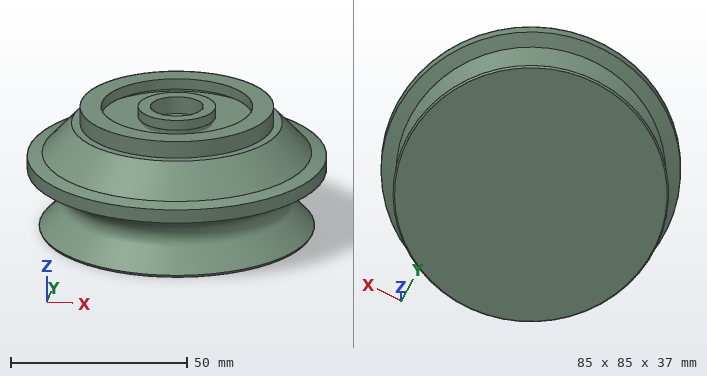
import cadquery as cq

height = 37.0
flange_radius = 42.5

lip_bottom_radius = 38.7
lip_radius = 39.1
lip_height = 0.8
neck_bottom_radius = 33.0
neck_bottom_height = 7.1
neck_radius = 31.9
neck_middle_height = 9.95
neck_top_radius = 33.2
neck_top_height = 13.1
flange_base_radius = 38.25
flange_base_bottom = 17.1
flange_bottom = 18.0
flange_top = 22.0
flange_base_top = 22.95
shoulder_radius = 29.9
shoulder_height = 32.0
collar_radius = 55.0 / 2

recess_depth = 5.1
overhang_thickness = 3.15
recess_mouth_radius = 43.0 / 2
recess_floor_radius = 50.0 / 2
stud_head_thickness = 3.0
stud_head_radius = 22.0 / 2
stud_neck_radius = 20.0 / 2
stud_foot_fillet = 0.5
stud_hole_radius = 15.0 / 2

recess_floor = height - recess_depth
overhang_underside = height - overhang_thickness
stud_head_underside = height - stud_head_thickness


def outer_body():
    """Revolve the outer wall as one solid bellows body."""
    profile = (
        cq.Workplane("XZ")
        .lineTo(lip_bottom_radius, 0)
        .lineTo(lip_radius, lip_height)
        .lineTo(neck_bottom_radius, neck_bottom_height)
        .threePointArc((neck_radius, neck_middle_height), (neck_top_radius, neck_top_height))
        .lineTo(flange_base_radius, flange_base_bottom)
        .lineTo(flange_radius, flange_bottom)
        .lineTo(flange_radius, flange_top)
        .lineTo(flange_base_radius, flange_base_top)
        .lineTo(shoulder_radius, shoulder_height)
        .lineTo(collar_radius, shoulder_height)
        .lineTo(collar_radius, height)
        .lineTo(0, height)
        .close()
    )
    return profile.revolve(360, (0, 0, 0), (0, 1, 0))


def ring_recess():
    """Revolve the void between the collar and the central stud."""
    profile = (
        cq.Workplane("XZ")
        .moveTo(stud_head_radius, height)
        .lineTo(stud_head_radius, stud_head_underside)
        .lineTo(stud_neck_radius, stud_head_underside)
        .lineTo(stud_neck_radius, recess_floor + stud_foot_fillet)
        .radiusArc((stud_neck_radius + stud_foot_fillet, recess_floor), -stud_foot_fillet)
        .lineTo(recess_floor_radius, recess_floor)
        .lineTo(recess_floor_radius, overhang_underside)
        .lineTo(recess_mouth_radius, overhang_underside)
        .lineTo(recess_mouth_radius, height)
        .close()
    )
    return profile.revolve(360, (0, 0, 0), (0, 1, 0))


def stud_hole():
    """Blind hole in the stud, as deep as the ring recess."""
    return cq.Workplane("XY", origin=(0, 0, recess_floor)).circle(stud_hole_radius).extrude(recess_depth)


result = outer_body().cut(ring_recess()).cut(stud_hole())